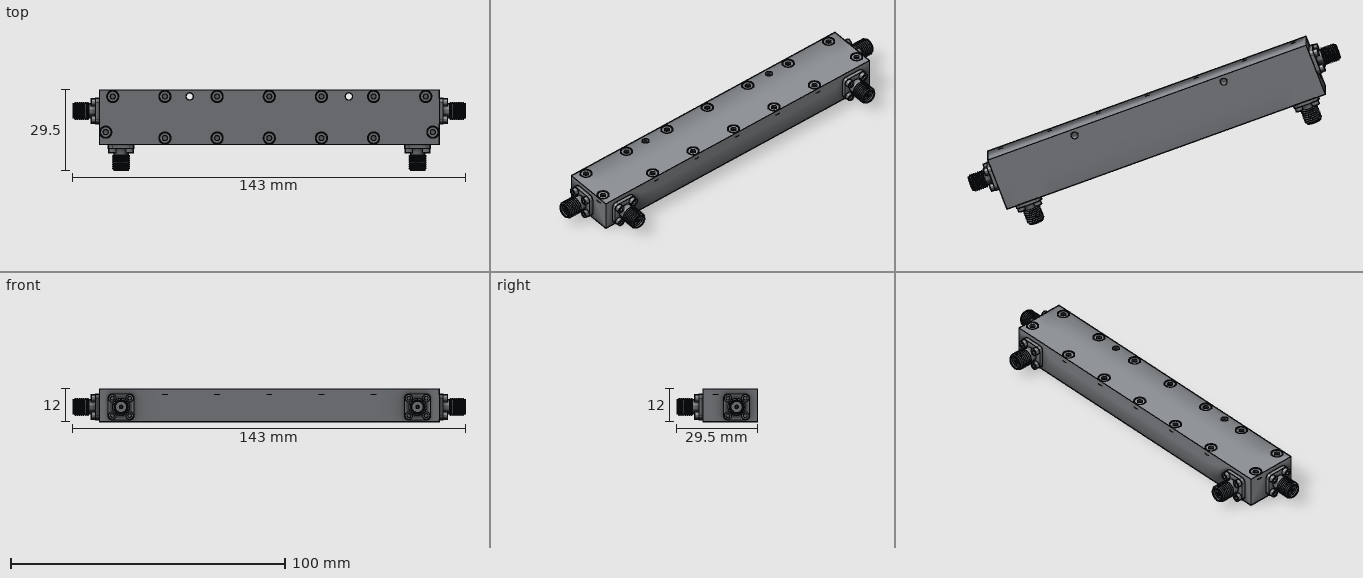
import cadquery as cq

OVERALL_LENGTH = 143.0
OVERALL_DEPTH = 29.5

BODY_LENGTH = 124.0
BODY_HEIGHT = 12.0
CONNECTOR_LENGTH = (OVERALL_LENGTH - BODY_LENGTH) / 2
BODY_DEPTH = OVERALL_DEPTH - CONNECTOR_LENGTH

SCREW_PITCH = 19.0
SCREW_ROW_Y = 7.6
BACK_ROW_COUNT = 7
FRONT_ROW_COUNT = 5
END_SCREW_X = 59.6
END_SCREW_Y = -5.5
COUNTERBORE_DIAMETER = 4.5
COUNTERBORE_DEPTH = 2.1
HEAD_DIAMETER = 3.9
HEAD_HEIGHT = 2.0
HEAD_SOCKET_DIAMETER = 1.9
HEAD_SOCKET_DEPTH = 1.0

MOUNTING_HOLE_X = 29.0
MOUNTING_HOLE_DIAMETER = 2.6

CONNECTOR_Z = -0.6
END_CONNECTOR_Y = 2.3
FRONT_CONNECTOR_X = 54.0
FLANGE_SIZE = 9.5
FLANGE_THICKNESS = 1.5
FLANGE_SCREW_SPACING = 6.3
FLANGE_SCREW_DIAMETER = 2.7
FLANGE_SCREW_HEIGHT = 1.6
FLANGE_SOCKET_DIAMETER = 1.4
FLANGE_SOCKET_DEPTH = 0.9
FLANGE_CORNER_RADIUS = (FLANGE_SIZE - FLANGE_SCREW_SPACING) / 2

BARREL_DIAMETER = 5.3
THREAD_DIAMETER = 6.3
THREAD_PITCH = 0.76
THREAD_COUNT = 7
THREAD_LEAD_IN = 0.5
BORE_DIAMETER = 4.6
BORE_DEPTH = 2.6
INSULATOR_DIAMETER = 4.1
INSULATOR_RECESS = 1.5
CONTACT_DIAMETER = 1.27
CONTACT_RECESS = 0.7
CONTACT_HOLE_DIAMETER = 0.9


def cylinder(diameter, bottom, top):
    """Upright cylinder on the Z axis between two heights."""
    return cq.Workplane("XY").workplane(offset=bottom).circle(diameter / 2).extrude(top - bottom)


def cover_screw_points():
    """Centres of the screws in the two long rows and at the two ends."""
    points = []
    for count, y in ((BACK_ROW_COUNT, SCREW_ROW_Y), (FRONT_ROW_COUNT, -SCREW_ROW_Y)):
        for index in range(count):
            points.append(((index - (count - 1) / 2) * SCREW_PITCH, y))
    points += [(side * END_SCREW_X, END_SCREW_Y) for side in (-1, 1)]
    return points


def make_housing():
    """Block with mounting holes and socket-head screws in counterbores."""
    top = BODY_HEIGHT / 2
    floor = top - COUNTERBORE_DEPTH
    head_top = floor + HEAD_HEIGHT

    block = cq.Workplane("XY").box(BODY_LENGTH, BODY_DEPTH, BODY_HEIGHT)
    for side in (-1, 1):
        hole = cylinder(MOUNTING_HOLE_DIAMETER, -top, top)
        block = block.cut(hole.translate((side * MOUNTING_HOLE_X, SCREW_ROW_Y, 0)))

    recess = cylinder(COUNTERBORE_DIAMETER, floor, top)
    head = cylinder(HEAD_DIAMETER, floor, head_top)
    socket = cylinder(HEAD_SOCKET_DIAMETER, head_top - HEAD_SOCKET_DEPTH, head_top)
    clearance = recess.cut(head).union(socket)
    for x, y in cover_screw_points():
        block = block.cut(clearance.translate((x, y, 0)))
    return block


def make_barrel():
    """Threaded barrel: a revolved profile with one V-shaped ridge per pitch."""
    root = BARREL_DIAMETER / 2
    crest = THREAD_DIAMETER / 2
    thread_start = CONNECTOR_LENGTH - THREAD_LEAD_IN - THREAD_COUNT * THREAD_PITCH

    profile = cq.Workplane("XZ").lineTo(root, 0)
    for index in range(THREAD_COUNT):
        ridge_start = thread_start + index * THREAD_PITCH
        profile = profile.lineTo(root, ridge_start)
        profile = profile.lineTo(crest, ridge_start + THREAD_PITCH / 2)
    profile = profile.lineTo(root, CONNECTOR_LENGTH - THREAD_LEAD_IN)
    profile = profile.lineTo(root, CONNECTOR_LENGTH).lineTo(0, CONNECTOR_LENGTH).close()
    barrel = profile.revolve(360, (0, 0, 0), (0, 1, 0))

    bore_floor = CONNECTOR_LENGTH - BORE_DEPTH
    contact_top = CONNECTOR_LENGTH - CONTACT_RECESS
    insulator_top = CONNECTOR_LENGTH - INSULATOR_RECESS
    barrel = barrel.cut(cylinder(BORE_DIAMETER, bore_floor, CONNECTOR_LENGTH))
    barrel = barrel.union(cylinder(INSULATOR_DIAMETER, bore_floor, insulator_top))
    barrel = barrel.union(cylinder(CONTACT_DIAMETER, bore_floor, contact_top))
    return barrel.cut(cylinder(CONTACT_HOLE_DIAMETER, bore_floor, CONNECTOR_LENGTH))


def make_connector():
    """Connector standing on the XY plane and pointing along +Z."""
    head_top = FLANGE_THICKNESS + FLANGE_SCREW_HEIGHT
    flange = (
        cq.Workplane("XY")
        .rect(FLANGE_SIZE, FLANGE_SIZE)
        .extrude(FLANGE_THICKNESS)
        .edges("|Z")
        .fillet(FLANGE_CORNER_RADIUS)
    )
    screw = cylinder(FLANGE_SCREW_DIAMETER, 0, head_top)
    screw = screw.cut(cylinder(FLANGE_SOCKET_DIAMETER, head_top - FLANGE_SOCKET_DEPTH, head_top))
    offset = FLANGE_SCREW_SPACING / 2
    connector = flange.union(make_barrel())
    for x in (-offset, offset):
        for y in (-offset, offset):
            connector = connector.union(screw.translate((x, y, 0)))
    return connector


def make_part():
    """Housing with a mirrored pair of connectors on the ends and a pair on the front."""
    part = make_housing()
    connector = make_connector()
    front_connector = connector.rotate((0, 0, 0), (1, 0, 0), 90)
    end_x = BODY_LENGTH / 2
    front_y = -BODY_DEPTH / 2
    for side in (-1, 1):
        end_connector = connector.rotate((0, 0, 0), (0, 1, 0), side * 90)
        part = part.union(end_connector.translate((side * end_x, END_CONNECTOR_Y, CONNECTOR_Z)))
        part = part.union(front_connector.translate((side * FRONT_CONNECTOR_X, front_y, CONNECTOR_Z)))
    return part


result = make_part()